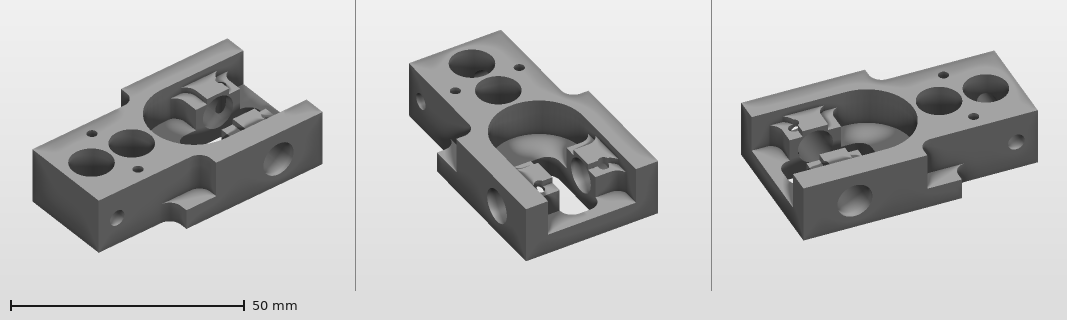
import cadquery as cq

length = 57.0
width = 33.0
height = 14.0
nose_width = 23.0
corner_radius = 3.0

ledge_height = 5.0
lower_shoulder_y = 19.95
upper_shoulder_y = 28.05

channel_width = 21.9
channel_end_y = 24.0
channel_floor = ledge_height

axle_y = 45.0
block_length = 12.0
block_top_length = 6.0
block_step_height = 10.5
block_height = 11.95
block_corner_overrun = 0.2

window_width = 8.9
window_start_y = 33.0
window_end_y = 54.05

axle_diameter = 8.2
cross_pin_diameter = 3.9
cross_pin_y = 5.0
bore_diameter = 10.0
bore_positions_y = (7.05, 18.0)
screw_diameter = 2.4
screw_spacing_x = 15.95
screw_positions_y = (13.45, 48.5)


def box(size_x, y_start, y_end, z_start, z_end):
    """Block centred on X between the given Y and Z limits."""
    return cq.Workplane("XY").box(
        size_x, y_end - y_start, z_end - z_start, centered=(True, False, False)
    ).translate((0, y_start, z_start))


def shoulder_cut(side, shoulder_y, z_start, z_end):
    """Cutter beside the nose, with a rounded inner corner at the shoulder."""
    nose_side = nose_width / 2
    cut_width = width / 2
    cutter = (
        cq.Workplane("XY")
        .box(cut_width, 2 * shoulder_y, z_end - z_start, centered=(False, True, False))
        .edges("|Z and >X and >Y" if side < 0 else "|Z and <X and >Y")
        .fillet(corner_radius)
    )
    x_start = nose_side if side > 0 else -nose_side - cut_width
    return cutter.translate((x_start, 0, z_start))


def channel():
    """U-shaped channel from its floor up through the top."""
    radius = channel_width / 2
    center_y = channel_end_y + radius
    depth = height - channel_floor
    straight = box(channel_width, center_y, length, channel_floor, height)
    end = cq.Workplane("XY", origin=(0, center_y, channel_floor)).circle(radius).extrude(depth)
    return straight.union(end)


def block_layer(layer_length, z_top):
    """Block across the channel whose four corners flare into the walls."""
    inner_y = axle_y - layer_length / 2
    outer_y = axle_y + layer_length / 2
    flare_width = channel_width + 2 * block_corner_overrun
    layer = box(channel_width, inner_y - corner_radius, outer_y + corner_radius, channel_floor, z_top)
    for y_start, y_end, face in ((0, inner_y, ">Y"), (outer_y, 2 * length, "<Y")):
        pocket = box(flare_width, y_start, y_end, channel_floor, z_top)
        layer = layer.cut(pocket.edges("|Z").edges(face).fillet(corner_radius))
    return layer


def vertical_holes(diameter, points):
    return cq.Workplane("XY").pushPoints(points).circle(diameter / 2).extrude(height)


def cross_hole(diameter, y):
    """Hole through the full width at mid height."""
    return (
        cq.Workplane("YZ", origin=(-width / 2, y, height / 2)).circle(diameter / 2).extrude(width)
    )


body = box(width, 0, length, 0, height)
for side in (-1, 1):
    body = body.cut(shoulder_cut(side, lower_shoulder_y, 0, ledge_height))
    body = body.cut(shoulder_cut(side, upper_shoulder_y, ledge_height, height))

body = body.cut(channel())
body = body.union(block_layer(block_length, block_step_height))
body = body.union(block_layer(block_top_length, block_height))

window = box(window_width, window_start_y, window_end_y, 0, height)
body = body.cut(window.edges("|Z").fillet(corner_radius))

screw_points = [(side * screw_spacing_x / 2, y) for side in (-1, 1) for y in screw_positions_y]
body = body.cut(vertical_holes(bore_diameter, [(0, y) for y in bore_positions_y]))
body = body.cut(vertical_holes(screw_diameter, screw_points))
body = body.cut(cross_hole(axle_diameter, axle_y))
body = body.cut(cross_hole(cross_pin_diameter, cross_pin_y))

result = body